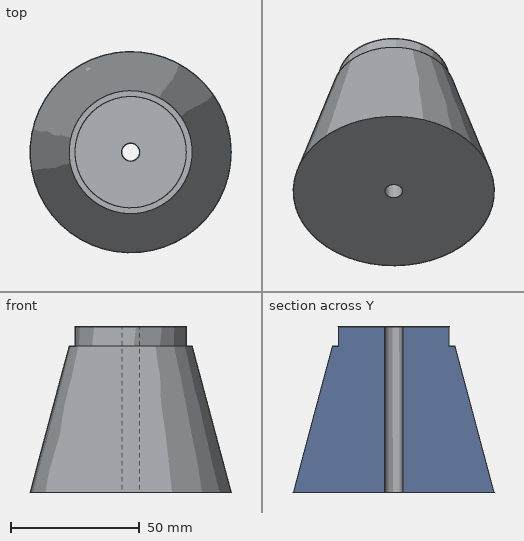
import cadquery as cq

base_diameter = 78.1
shoulder_diameter = 47.7
boss_diameter = 43.2
bore_diameter = 6.9
total_height = 64.4
boss_height = 7.6
cone_height = total_height - boss_height

body = cq.Solid.makeCone(base_diameter / 2, shoulder_diameter / 2, cone_height)

boss = cq.Workplane("XY").workplane(offset=cone_height).circle(boss_diameter / 2).extrude(boss_height)

bore = cq.Workplane("XY").circle(bore_diameter / 2).extrude(total_height)

result = cq.Workplane("XY").add(body).union(boss).cut(bore)